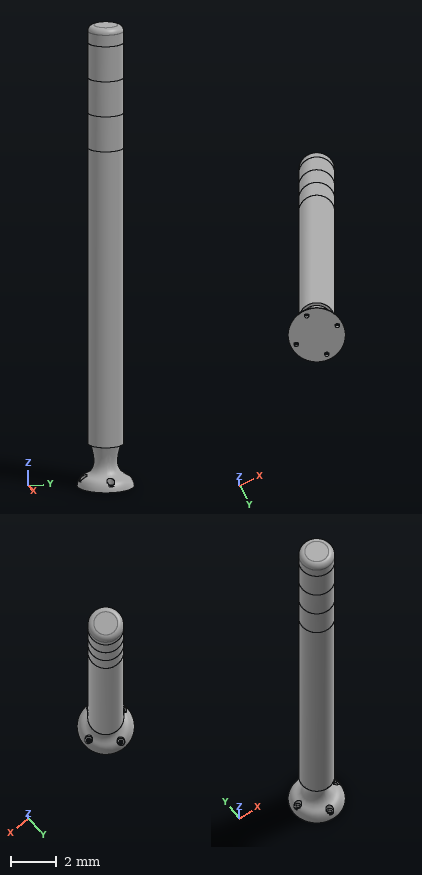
import cadquery as cq

TOTAL_HEIGHT = 20.95
POST_RADIUS = 0.8
POST_BOTTOM = 1.93
TOP_ROUND = 0.27

BAND_HEIGHT = 1.6
BAND_THICKNESS = 0.08
BAND_COUNT = 2
TOP_BAND_DROP = 0.8
BAND_PITCH = 2 * BAND_HEIGHT
BAND_BOTTOMS = [
    TOTAL_HEIGHT - TOP_BAND_DROP - BAND_HEIGHT - i * BAND_PITCH
    for i in range(BAND_COUNT)
]

FLANGE_RADIUS = 1.267
NECK_TOP_RADIUS = 0.67
BASE_CURVE = [
    (1.22, 0.2),
    (1.07, 0.42),
    (0.78, 0.59),
    (0.55, 0.96),
    (0.55, 1.36),
    (NECK_TOP_RADIUS, POST_BOTTOM),
]

HOLE_COUNT = 4
HOLE_CIRCLE_RADIUS = 1.0
HOLE_DIAMETER = 0.19
COUNTERBORE_DIAMETER = 0.34
COUNTERBORE_FLOOR = 0.25


def make_band(bottom):
    """Ring whose outer face is flush with the post."""
    return (
        cq.Workplane("XY")
        .workplane(offset=bottom)
        .circle(POST_RADIUS)
        .circle(POST_RADIUS - BAND_THICKNESS)
        .extrude(BAND_HEIGHT)
    )


def make_post():
    """Round post with a rounded top and one groove for each band."""
    post = (
        cq.Workplane("XY")
        .workplane(offset=POST_BOTTOM)
        .circle(POST_RADIUS)
        .extrude(TOTAL_HEIGHT - POST_BOTTOM)
        .faces(">Z")
        .edges()
        .fillet(TOP_ROUND)
    )
    for bottom in BAND_BOTTOMS:
        post = post.cut(make_band(bottom))
    return post


def make_hole_cutters(diameter, floor):
    """Ring of upright cylinders from the floor height to above the flange."""
    return (
        cq.Workplane("XY")
        .workplane(offset=floor)
        .polarArray(HOLE_CIRCLE_RADIUS, 0, 360, HOLE_COUNT)
        .circle(diameter / 2)
        .extrude(POST_BOTTOM - floor)
    )


def make_base():
    """Revolved foot that carries the post, with counterbored anchor holes."""
    foot = (
        cq.Workplane("XZ")
        .lineTo(FLANGE_RADIUS, 0)
        .spline(BASE_CURVE, includeCurrent=True)
        .lineTo(0, POST_BOTTOM)
        .close()
        .revolve(360, (0, 0), (0, 1))
    )
    holes = make_hole_cutters(HOLE_DIAMETER, 0)
    counterbores = make_hole_cutters(COUNTERBORE_DIAMETER, COUNTERBORE_FLOOR)
    return foot.cut(holes).cut(counterbores)


base = make_base()
post = make_post()
bands = [make_band(bottom) for bottom in BAND_BOTTOMS]

result = cq.Compound.makeCompound(
    [base.val(), post.val(), *[band.val() for band in bands]]
)